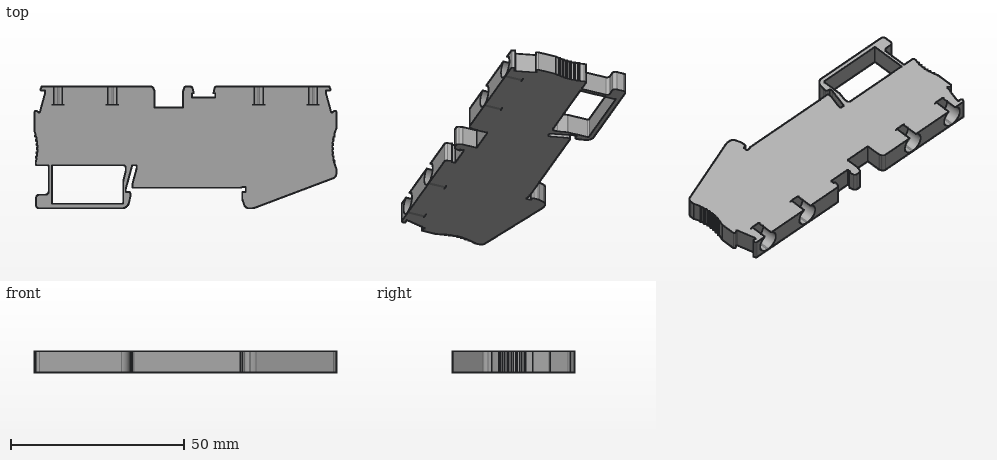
import cadquery as cq
import math

LENGTH = 87.2
WIDTH = 35.2
THICKNESS = 6.2
END_X = LENGTH / 2
TOP_Y = WIDTH / 2
BOTTOM_Y = -WIDTH / 2

HOOK_TIP_X = 41.9
HOOK_NECK_X = 40.55
HOOK_UNDER_Y = 16.4
NECK_END_Y = 15.7
SHOULDER_NOTCH_X = 42.1
SHOULDER_NOTCH_Y = 9.9
SHOULDER_Y = 10.55

CHANNEL_LEFT_X = -8.9
CHANNEL_RIGHT_X = -0.8
CHANNEL_FLOOR_Y = 11.6

POCKET_LEFT_X = 1.9
POCKET_RIGHT_X = 8.55
POCKET_FLOOR_Y = 14.5
POCKET_LIP_Y = 15.6
POCKET_LIP = 0.5

BODY_UNDER_Y = -11.7
LEFT_UNDER_Y = -5.15
LEFT_END_X = -43.25
RIGHT_FOOT_X = 16.3
RAIL_EDGE_X = 17.35
RAIL_LIP_Y = -12.8
FOOT_SOLE_LEFT_X = 17.3
FOOT_SOLE_RIGHT_X = 19.5
FOOT_SOLE_ROUND = 4.4
FOOT_BEND_Y = -14.8
RIGHT_LOW_Y = -8.55

FRAME_LEFT_X = -39.5
FRAME_TOE_X = -43.2
FRAME_TOE_ROUND = 1.0
FRAME_TOE_TOP_Y = -13.6
FRAME_HEEL_X = -15.9
FRAME_SOLE_X = -16.65
FRAME_SOLE_ROUND = 2.3
FRAME_BEND_Y = -14.1
FRAME_NECK_X = -17.2
SLIT_LEFT_X = -15.35
SLIT_RIGHT_X = -14.1
WINDOW_LEFT_X = -38.45
WINDOW_RIGHT_X = -17.3
WINDOW_LOW_RIGHT_X = -18.0
WINDOW_BEND_TOP_Y = -6.7
WINDOW_BEND_LOW_Y = -9.6
WINDOW_FLOOR_Y = -16.2

GRIP_RADIUS = 14.8
GRIP_Y = -0.35
LEFT_GRIP_DEPTH = 0.9
RIGHT_GRIP_DEPTH = 1.2
RIB_RADIUS = 0.3
RIB_PITCH = 1.2
TOP_RIB_Y = 3.3
LEFT_RIB_COUNT = 6
RIGHT_RIB_COUNT = 7

BORE_CENTRES_X = (-36.8, -21.1, 21.1, 36.8)
BORE_DEPTH = 5.3
BORE_RADIUS = 3.1
BORE_OPENING = 2.5
BORE_FLAT = 0.4


def rounded_outline(corners):
    """Closed wire through (x, y, radius) corners, each rounded by its radius."""
    pieces = []
    for i, (x, y, radius) in enumerate(corners):
        here = cq.Vector(x, y)
        to_last = (cq.Vector(*corners[i - 1][:2]) - here).normalized()
        to_next = (cq.Vector(*corners[(i + 1) % len(corners)][:2]) - here).normalized()
        half_angle = to_last.getAngle(to_next) / 2
        setback = radius / math.tan(half_angle)
        bisector = (to_last + to_next).normalized()
        middle = here + bisector * (radius / math.sin(half_angle) - radius)
        pieces.append((here + to_last * setback, middle, here + to_next * setback, radius))

    outline = cq.Workplane("XY").moveTo(*pieces[0][2].toTuple()[:2])
    for start, middle, end, radius in pieces[1:] + pieces[:1]:
        outline = outline.lineTo(start.x, start.y)
        if radius > 0:
            outline = outline.threePointArc((middle.x, middle.y), (end.x, end.y))
    return outline.close()




def hook_corners(side):
    """Corners of one latch hook and shoulder, from the top edge down; side is -1 or 1."""
    return [
        (side * (HOOK_TIP_X - 0.4), TOP_Y, 0.3),
        (side * HOOK_TIP_X, HOOK_UNDER_Y + 0.3, 0.3),
        (side * (HOOK_TIP_X - 0.35), HOOK_UNDER_Y, 0.1),
        (side * HOOK_NECK_X, HOOK_UNDER_Y, 0),
        (side * HOOK_NECK_X, NECK_END_Y, 0),
        (side * SHOULDER_NOTCH_X, SHOULDER_NOTCH_Y, 0.2),
        (side * (END_X - 0.7), SHOULDER_Y, 0.3),
        (side * END_X, SHOULDER_Y, 0.4),
    ]


def top_edge_corners():
    """Channel, post and pocket along the top edge, from left to right."""
    return [
        (CHANNEL_LEFT_X - 0.5, TOP_Y, 1.05),
        (CHANNEL_LEFT_X, TOP_Y - 1.4, 0.4),
        (CHANNEL_LEFT_X, CHANNEL_FLOOR_Y, 0),
        (CHANNEL_RIGHT_X, CHANNEL_FLOOR_Y, 0),
        (CHANNEL_RIGHT_X, TOP_Y - 1.6, 0.9),
        (CHANNEL_RIGHT_X + 0.5, TOP_Y, 0.7),
        (POCKET_LEFT_X, TOP_Y, 0.9),
        (POCKET_LEFT_X + POCKET_LIP, POCKET_LIP_Y, 0),
        (POCKET_LEFT_X, POCKET_LIP_Y, 0),
        (POCKET_LEFT_X, POCKET_FLOOR_Y, 0),
        (POCKET_RIGHT_X, POCKET_FLOOR_Y, 0),
        (POCKET_RIGHT_X, POCKET_LIP_Y, 0),
        (POCKET_RIGHT_X - POCKET_LIP, POCKET_LIP_Y, 0),
        (POCKET_RIGHT_X - 0.1, TOP_Y, 0.8),
    ]


def right_foot_corners():
    """Sloped right underside and the fixed rail foot, from right to left."""
    return [
        (END_X, RIGHT_LOW_Y, 1.6),
        (FOOT_SOLE_RIGHT_X, BOTTOM_Y, FOOT_SOLE_ROUND),
        (FOOT_SOLE_LEFT_X, BOTTOM_Y, 1.6),
        (RIGHT_FOOT_X, FOOT_BEND_Y, 1.75),
        (RIGHT_FOOT_X, RAIL_LIP_Y, 0.4),
        (RAIL_EDGE_X, RAIL_LIP_Y, 0),
        (RAIL_EDGE_X, BODY_UNDER_Y + 0.35, 0.2),
        (RIGHT_FOOT_X, BODY_UNDER_Y + 0.2, 0),
        (RIGHT_FOOT_X - 0.4, BODY_UNDER_Y, 0),
    ]


def spring_foot_corners():
    """Flex slit, heel, toe and left wall of the spring foot, from right to left."""
    return [
        (SLIT_LEFT_X, BODY_UNDER_Y, 0.35),
        (SLIT_LEFT_X, BODY_UNDER_Y + 1.1, 0),
        (SLIT_RIGHT_X, LEFT_UNDER_Y - 0.9, 0.3),
        (SLIT_RIGHT_X, LEFT_UNDER_Y, 0.2),
        (SLIT_LEFT_X, LEFT_UNDER_Y, 0.2),
        (FRAME_NECK_X, RAIL_LIP_Y + 1.0, 0),
        (FRAME_NECK_X, RAIL_LIP_Y, 0),
        (FRAME_HEEL_X, RAIL_LIP_Y, 0.5),
        (FRAME_HEEL_X, FRAME_BEND_Y, 0.7),
        (FRAME_SOLE_X, BOTTOM_Y, FRAME_SOLE_ROUND),
        (FRAME_TOE_X, BOTTOM_Y, FRAME_TOE_ROUND),
        (FRAME_TOE_X, FRAME_TOE_TOP_Y, FRAME_TOE_ROUND),
        (FRAME_LEFT_X, FRAME_TOE_TOP_Y, FRAME_TOE_ROUND),
        (FRAME_LEFT_X, LEFT_UNDER_Y, 0.35),
        (LEFT_END_X, LEFT_UNDER_Y, 0.35),
        (LEFT_END_X, GRIP_Y, 0),
        (-END_X, GRIP_Y, 0),
    ]


def plate():
    corners = (
        list(reversed(hook_corners(-1)))
        + top_edge_corners()
        + hook_corners(1)
        + right_foot_corners()
        + spring_foot_corners()
    )
    return rounded_outline(corners).extrude(THICKNESS)


def window():
    corners = [
        (WINDOW_LEFT_X, LEFT_UNDER_Y, 0),
        (WINDOW_RIGHT_X, LEFT_UNDER_Y, 0.7),
        (WINDOW_RIGHT_X, WINDOW_BEND_TOP_Y, 0),
        (WINDOW_LOW_RIGHT_X, WINDOW_BEND_LOW_Y, 0.4),
        (WINDOW_LOW_RIGHT_X, WINDOW_FLOOR_Y, 0.35),
        (WINDOW_LEFT_X, WINDOW_FLOOR_Y, 0),
    ]
    return rounded_outline(corners).extrude(THICKNESS)


def add_grip(body, side, depth, rib_count):
    """Hollow one end by a shallow arc and set small ribs along it."""
    centre_x = side * (END_X - depth + GRIP_RADIUS)
    hollow = cq.Workplane("XY").center(centre_x, GRIP_Y).circle(GRIP_RADIUS).extrude(THICKNESS)
    body = body.cut(hollow)
    for i in range(rib_count):
        y = TOP_RIB_Y - i * RIB_PITCH
        x = centre_x - side * math.sqrt(GRIP_RADIUS**2 - (y - GRIP_Y) ** 2)
        rib = cq.Workplane("XY").center(x, y).circle(RIB_RADIUS).extrude(THICKNESS)
        body = body.union(rib)
    return body


def bore(x):
    """Round bore along Y, trimmed by a narrow flat along its lowest line."""
    centre_z = THICKNESS - math.sqrt(BORE_RADIUS**2 - (BORE_OPENING / 2) ** 2)
    half_flat = BORE_FLAT / 2
    flat_drop = math.sqrt(BORE_RADIUS**2 - half_flat**2)
    return (
        cq.Workplane("XZ", origin=(x, TOP_Y, centre_z))
        .moveTo(-half_flat, -flat_drop)
        .lineTo(half_flat, -flat_drop)
        .threePointArc((0, BORE_RADIUS), (-half_flat, -flat_drop))
        .close()
        .extrude(BORE_DEPTH)
    )


result = plate().cut(window())
result = add_grip(result, -1, LEFT_GRIP_DEPTH, LEFT_RIB_COUNT)
result = add_grip(result, 1, RIGHT_GRIP_DEPTH, RIGHT_RIB_COUNT)
for bore_x in BORE_CENTRES_X:
    result = result.cut(bore(bore_x))